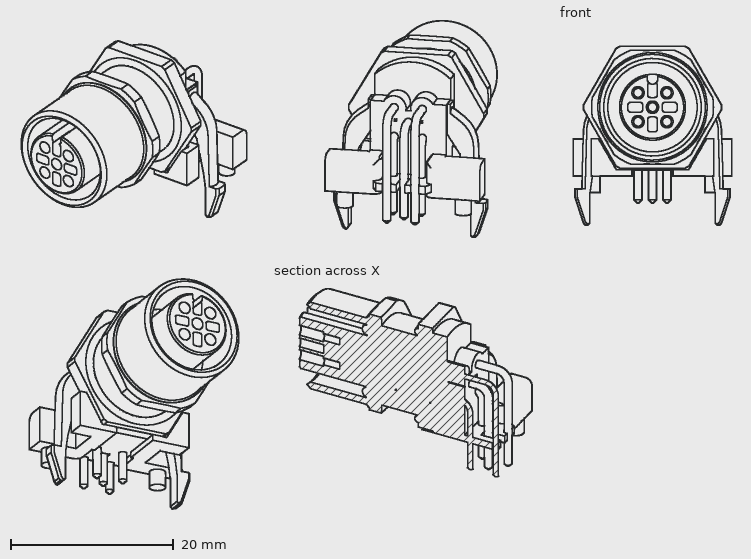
import cadquery as cq
import math


INSERT_D = 8.1
INSERT_CHAMFER = 0.22
PIN_PITCH = 1.78
SOCKET_D = 1.5
SOCKET_CORE_D = 1.1
SOCKET_DEPTH = 3.33
SOCKET_CORE_DEPTH = 5.55
POCKET_LENGTH = 1.83
POCKET_WIDTH = 1.2
POCKET_OFFSET = 2.1
POCKET_DEPTH = 3.33
POCKET_CORNER_R = 0.33
KEYWAY_WIDTH = 1.33
KEYWAY_FLOOR = 2.83

SLEEVE_D = 13.0
SLEEVE_BORE_D = 11.0
RIM_D = 12.0
SLEEVE_FRONT = 1.05
SLEEVE_BACK = 9.3
BORE_DEPTH = 9.45
RING_CREST = BORE_DEPTH - (SLEEVE_BORE_D - INSERT_D) / 4
COLLAR_FRONT = 9.53
NUT_FRONT = 9.6
NUT_BACK = 11.47
NUT_FLATS = 14.0
NUT_CORNER_D = 15.0
NUT_FACE_D = 13.45
NUT_CHAMFER = 0.2

NECK_D = 12.0
SEAL_WIRE_D = 1.0
FLANGE_FRONT = 16.5
FLANGE_BACK = 18.52
FLANGE_FLATS = 15.0
FLANGE_CORNER_D = 17.0

HOUSING_WIDTH = 9.55
HOUSING_TOP_D = 14.0
HOUSING_STEP = 20.55
HOUSING_BACK = 23.0
SHOULDER_TOP = 2.5
PIN_BOSS_D = 3.0
BASE_TOP = -3.9
BASE_BOTTOM = -8.47
CHANNEL_WIDTH = 5.0
FLOOR_BOTTOM = -7.72
FLOOR_TOP = -6.72
FLOOR_WIDTH = 6.22
FLOOR_BACK = 27.45
FLOOR_FLARE = 0.53
FLOOR_HOLE_D = 1.1
FLOOR_SLOT_WIDTH = 1.08
FLOOR_SLOT_FRONT = 24.75
FOOT_WIDTH = 15.0
FOOT_FRONT = 17.0
FOOT_BACK = 19.5
FLANGE_CLEARANCE = 0.2
WING_SPAN = 19.5
WING_FRONT = 23.52
WING_BACK = 26.45
WING_EDGE_R = 0.97
WING_GAP = 5.72
WING_GAP_R = 0.95
WING_GAP_CHAMFER = 0.25
PEG_D = 2.0
PEG_X = 7.45
PEG_BOTTOM = -10.5

ARM_FRONT = 20.6
ARM_BACK = 22.4
ARM_CROWN = 0.42
ARM_SUNK = 0.55
ARM_PAD = 0.4
ARM_PAD_TOP = 2.45
BARB_CHAMFER = 0.28
BARB_TOP = -10.02
TOTAL_HEIGHT = 22.0
ARM_TIP = FLANGE_FLATS / 2 - TOTAL_HEIGHT

PIN_D = 1.0
PIN_BEND_R = 1.5
LAST_PIN_Y = 27.27
PIN_SHOULDER = -11.39
PIN_TIP = -11.77
PIN_TIP_D = 0.22


def cylinder_y(diameter, start, end, x=0, z=0):
    """Cylinder parallel to Y between two Y positions."""
    return cq.Workplane("XZ", origin=(x, start, z)).circle(diameter / 2).extrude(start - end)


def block(x_range, y_range, z_range):
    """Axis-aligned box between pairs of limits."""
    size = [high - low for low, high in (x_range, y_range, z_range)]
    return cq.Workplane("XY").box(*size, centered=False).translate((x_range[0], y_range[0], z_range[0]))


def hexagon(flats, start, end):
    """Hexagonal prism along Y with flats at the top and bottom."""
    corner_d = flats / math.cos(math.pi / 6)
    return cq.Workplane("XZ", origin=(0, start, 0)).polygon(6, corner_d).extrude(start - end)


def revolve_y(radius_and_y):
    """Solid of revolution about the Y axis from (radius, y) points."""
    return cq.Workplane("XY").polyline(radius_and_y).close().revolve(360, (0, 0), (0, 1))


def torus_y(mean_radius, wire_d, y):
    """Ring of round section around the Y axis."""
    return cq.Workplane("XY").center(mean_radius, y).circle(wire_d / 2).revolve(
        360, (-mean_radius, 0), (-mean_radius, 1))


def add_insert(body):
    """Body with the contact insert, its sockets, key pockets and keyway."""
    post = cylinder_y(INSERT_D, 0, BORE_DEPTH).faces("<Y").chamfer(INSERT_CHAMFER)
    insert = body.union(post)
    corners = [(sx * PIN_PITCH, sz * PIN_PITCH) for sx in (-1, 1) for sz in (-1, 1)]
    for x, z in corners + [(0, 0)]:
        insert = insert.cut(cylinder_y(SOCKET_D, 0, SOCKET_DEPTH, x, z))
        insert = insert.cut(cylinder_y(SOCKET_CORE_D, 0, SOCKET_CORE_DEPTH, x, z))
    pocket = block(
        (POCKET_OFFSET - POCKET_LENGTH / 2, POCKET_OFFSET + POCKET_LENGTH / 2),
        (0, POCKET_DEPTH),
        (-POCKET_WIDTH / 2, POCKET_WIDTH / 2),
    ).edges("|Y").fillet(POCKET_CORNER_R)
    for angle in range(0, 360, 90):
        insert = insert.cut(pocket.rotate((0, 0, 0), (0, 1, 0), angle))
    keyway_center = KEYWAY_FLOOR + KEYWAY_WIDTH / 2
    keyway = cylinder_y(KEYWAY_WIDTH, 0, RING_CREST, 0, keyway_center).union(
        block((-KEYWAY_WIDTH / 2, KEYWAY_WIDTH / 2), (0, RING_CREST), (keyway_center, INSERT_D / 2)))
    return insert.cut(keyway)


def make_sleeve():
    """Sleeve, nut seat and plain neck as one turned body with its bore."""
    outer_chamfer = (SLEEVE_D - RIM_D) / 2
    inner_chamfer = (RIM_D - SLEEVE_BORE_D) / 2
    sleeve = revolve_y([
        (0, SLEEVE_FRONT + inner_chamfer),
        (SLEEVE_BORE_D / 2, SLEEVE_FRONT + inner_chamfer),
        (RIM_D / 2, SLEEVE_FRONT),
        (SLEEVE_D / 2, SLEEVE_FRONT + outer_chamfer),
        (SLEEVE_D / 2, SLEEVE_BACK),
        (NUT_FACE_D / 2, COLLAR_FRONT),
        (NUT_FACE_D / 2, NUT_FRONT),
        (NECK_D / 2, NUT_BACK),
        (NECK_D / 2, FLANGE_BACK),
        (0, FLANGE_BACK),
    ])
    ring_groove = (
        cq.Workplane("XY")
        .moveTo(INSERT_D / 2, 0)
        .lineTo(INSERT_D / 2, BORE_DEPTH)
        .threePointArc(((SLEEVE_BORE_D + INSERT_D) / 4, RING_CREST), (SLEEVE_BORE_D / 2, BORE_DEPTH))
        .lineTo(SLEEVE_BORE_D / 2, 0)
        .close()
        .revolve(360, (0, 0), (0, 1))
    )
    return sleeve.cut(ring_groove)


def make_nut():
    envelope = revolve_y([
        (0, NUT_FRONT),
        (NUT_FACE_D / 2, NUT_FRONT),
        (NUT_CORNER_D / 2, NUT_FRONT + NUT_CHAMFER),
        (NUT_CORNER_D / 2, NUT_BACK - NUT_CHAMFER),
        (NUT_FACE_D / 2, NUT_BACK),
        (0, NUT_BACK),
    ])
    bore = cylinder_y(RIM_D, NUT_FRONT, NUT_BACK)
    return hexagon(NUT_FLATS, NUT_FRONT, NUT_BACK).intersect(envelope).cut(bore)


def make_flange():
    flange = hexagon(FLANGE_FLATS, FLANGE_FRONT, FLANGE_BACK).intersect(
        cylinder_y(FLANGE_CORNER_D, FLANGE_FRONT, FLANGE_BACK))
    seal_radius = (NECK_D + SEAL_WIRE_D) / 2
    return flange.union(torus_y(seal_radius, SEAL_WIRE_D, FLANGE_FRONT))


def make_wings():
    """Rear bar with a rounded top edge, split by the pin recess."""
    bar = block(
        (-WING_SPAN / 2, WING_SPAN / 2), (WING_FRONT, WING_BACK), (BASE_BOTTOM, BASE_TOP)
    ).edges(">Y and >Z").fillet(WING_EDGE_R)
    half_width = HOUSING_WIDTH / 2
    bridge = block((-half_width, half_width), (HOUSING_BACK, WING_FRONT), (BASE_BOTTOM, BASE_TOP))
    half_gap = WING_GAP / 2
    recess = (
        cq.Workplane("XY", origin=(0, 0, BASE_BOTTOM))
        .moveTo(-half_gap, HOUSING_BACK)
        .lineTo(-half_gap, WING_BACK - WING_GAP_R)
        .radiusArc((-half_gap - WING_GAP_R, WING_BACK), -WING_GAP_R)
        .lineTo(half_gap + WING_GAP_R, WING_BACK)
        .radiusArc((half_gap, WING_BACK - WING_GAP_R), -WING_GAP_R)
        .lineTo(half_gap, HOUSING_BACK)
        .close()
        .extrude(BASE_TOP - BASE_BOTTOM)
    )
    bevel = (
        cq.Workplane("XZ", origin=(0, HOUSING_BACK, 0))
        .polyline([
            (-half_gap - WING_GAP_CHAMFER, BASE_TOP),
            (half_gap + WING_GAP_CHAMFER, BASE_TOP),
            (half_gap, BASE_TOP - WING_GAP_CHAMFER),
            (-half_gap, BASE_TOP - WING_GAP_CHAMFER),
        ])
        .close()
        .extrude(HOUSING_BACK - WING_BACK)
    )
    wings = bar.union(bridge).cut(recess).cut(bevel)
    for side in (-1, 1):
        peg = cq.Workplane("XY", origin=(side * PEG_X, WING_BACK - PEG_D / 2, PEG_BOTTOM)).circle(PEG_D / 2)
        wings = wings.union(peg.extrude(BASE_BOTTOM - PEG_BOTTOM))
    return wings


def make_pin_floor():
    """Thin floor that guides the pins, with notches for the long pins and a slot for the middle pin."""
    half_width = FLOOR_WIDTH / 2
    flare_x = half_width + FLOOR_FLARE
    floor = (
        cq.Workplane("XY", origin=(0, 0, FLOOR_BOTTOM))
        .polyline([
            (-flare_x, HOUSING_STEP), (-flare_x, WING_BACK), (-half_width, FLOOR_BACK),
            (half_width, FLOOR_BACK), (flare_x, WING_BACK), (flare_x, HOUSING_STEP),
        ])
        .close()
        .extrude(FLOOR_TOP - FLOOR_BOTTOM)
    )
    half_slot = FLOOR_SLOT_WIDTH / 2
    slot = block((-half_slot, half_slot), (FLOOR_SLOT_FRONT, FLOOR_BACK), (FLOOR_BOTTOM, FLOOR_TOP))
    floor = floor.cut(slot)
    for side in (-1, 1):
        hole_start = (side * PIN_PITCH, LAST_PIN_Y, FLOOR_BOTTOM)
        hole = cq.Workplane("XY", origin=hole_start).circle(FLOOR_HOLE_D / 2)
        floor = floor.cut(hole.extrude(FLOOR_TOP - FLOOR_BOTTOM))
    return floor


def make_housing():
    half_width = HOUSING_WIDTH / 2
    sides = (-half_width, half_width)
    dome = cylinder_y(HOUSING_TOP_D, FLANGE_BACK, HOUSING_STEP).intersect(
        block(sides, (FLANGE_BACK, HOUSING_STEP), (0, HOUSING_TOP_D / 2)))
    housing = dome.union(block(sides, (FLANGE_BACK, HOUSING_STEP), (BASE_BOTTOM, 0)))
    housing = housing.union(block(sides, (HOUSING_STEP, HOUSING_BACK), (BASE_BOTTOM, SHOULDER_TOP)))
    housing = housing.cut(
        block((-PIN_PITCH, PIN_PITCH), (HOUSING_STEP, HOUSING_BACK), (0, SHOULDER_TOP)))
    for x, z in [(-PIN_PITCH, PIN_PITCH), (0, 0), (PIN_PITCH, PIN_PITCH)]:
        housing = housing.union(cylinder_y(PIN_BOSS_D, HOUSING_STEP, HOUSING_BACK, x, z))
    foot = block((-FOOT_WIDTH / 2, FOOT_WIDTH / 2), (FOOT_FRONT, FOOT_BACK), (BASE_BOTTOM, BASE_TOP))
    foot = foot.cut(hexagon(FLANGE_FLATS + 2 * FLANGE_CLEARANCE, FOOT_FRONT, FLANGE_BACK))
    housing = housing.union(foot).union(make_wings())
    channel = block(
        (-CHANNEL_WIDTH / 2, CHANNEL_WIDTH / 2), (FOOT_FRONT, WING_BACK), (BASE_BOTTOM, FLOOR_BOTTOM))
    return housing.cut(channel).union(make_pin_floor())


def make_left_arm():
    """Snap arm leaving the housing side, bending down and ending in a barb."""
    depth = ARM_BACK - ARM_FRONT
    root_x = ARM_SUNK - HOUSING_WIDTH / 2
    foot = (-8.28, BARB_TOP)
    bend_start = (-8.08, -2.83)
    bend_end = (-6.45, 0.33)
    inner_foot = (-7.7, -10.6)
    inner_ankle = (-7.4, BASE_BOTTOM)
    inner_knee = (-6.35, BASE_TOP)
    inner_root = (root_x, -0.55)

    leg_angle = math.atan2(bend_start[1] - foot[1], bend_start[0] - foot[0])
    chord_angle = math.atan2(bend_end[1] - bend_start[1], bend_end[0] - bend_start[0])
    slope = math.tan(2 * chord_angle - leg_angle)
    root = (root_x, bend_end[1] + slope * (root_x - bend_end[0]))
    spine = (
        cq.Workplane("XZ", origin=(0, ARM_FRONT, 0))
        .moveTo(*foot)
        .lineTo(*bend_start)
        .tangentArcPoint(bend_end, relative=False)
        .lineTo(*root)
    )
    web = (
        cq.Workplane("XZ", origin=(0, ARM_FRONT, 0))
        .moveTo(*foot)
        .lineTo(*bend_start)
        .tangentArcPoint(bend_end, relative=False)
        .lineTo(*root)
        .lineTo(*inner_root)
        .lineTo(*inner_knee)
        .lineTo(*inner_ankle)
        .lineTo(*inner_foot)
        .lineTo(foot[0], inner_foot[1])
        .close()
        .extrude(-depth)
    )
    crown = (
        cq.Workplane("XY", origin=(0, 0, BARB_TOP))
        .moveTo(foot[0], ARM_FRONT)
        .threePointArc((foot[0] - ARM_CROWN, ARM_FRONT + depth / 2), (foot[0], ARM_BACK))
        .close()
        .sweep(spine)
    )
    pad_x = root_x - ARM_SUNK - ARM_PAD
    pad = block((pad_x, root_x), (ARM_FRONT, ARM_BACK), (inner_root[1], ARM_PAD_TOP))
    arm = web.union(crown).union(pad)

    def is_outer_side(edge):
        return edge.Center().x < foot[0] and edge.Center().z < BARB_TOP - BARB_CHAMFER

    catch_x = -9.55
    catch_bottom = -11.0
    nose_z = -14.22
    nose_left = -8.5
    tip_left = -8.28
    tip_right = -7.95
    barb = (
        cq.Workplane("XZ", origin=(0, ARM_FRONT, 0))
        .moveTo(inner_foot[0], BARB_TOP)
        .lineTo(catch_x, BARB_TOP)
        .lineTo(catch_x, catch_bottom)
        .lineTo(nose_left, nose_z)
        .lineTo(tip_left, ARM_TIP)
        .lineTo(tip_right, ARM_TIP)
        .lineTo(inner_foot[0], nose_z)
        .close()
        .extrude(-depth)
    )
    rims = barb.faces("<Y or >Y").edges().filter(is_outer_side)
    barb = barb.newObject(rims.vals()).chamfer(BARB_CHAMFER)
    return arm.union(barb)


def make_pin(x, z, leg_y):
    """Round pin running back from the housing, bent down and pointed at its end."""
    bend_y = leg_y - PIN_BEND_R
    bend_z = z - PIN_BEND_R
    diagonal = PIN_BEND_R * math.sin(math.pi / 4)
    path = (
        cq.Workplane("YZ", origin=(x, 0, 0))
        .moveTo(HOUSING_STEP, z)
        .lineTo(bend_y, z)
        .threePointArc((bend_y + diagonal, bend_z + diagonal), (leg_y, bend_z))
    )
    bent = cq.Workplane("XZ", origin=(x, HOUSING_STEP, z)).circle(PIN_D / 2).sweep(path)
    leg = cq.Workplane("XY", origin=(x, leg_y, PIN_SHOULDER)).circle(PIN_D / 2).extrude(bend_z - PIN_SHOULDER)
    tip = (
        cq.Workplane("XY", origin=(x, leg_y, PIN_SHOULDER))
        .circle(PIN_D / 2)
        .workplane(offset=PIN_TIP - PIN_SHOULDER)
        .circle(PIN_TIP_D / 2)
        .loft()
    )
    return bent.union(leg).union(tip)


left_arm = make_left_arm()
result = add_insert(make_sleeve()).union(make_nut()).union(make_flange()).union(make_housing())
result = result.union(left_arm).union(left_arm.mirror("YZ"))
for row, columns in enumerate([(-1, 1), (0,), (-1, 1)]):
    for column in columns:
        pin = make_pin(
            column * PIN_PITCH,
            (1 - row) * PIN_PITCH,
            LAST_PIN_Y - row * PIN_PITCH,
        )
        result = result.union(pin)